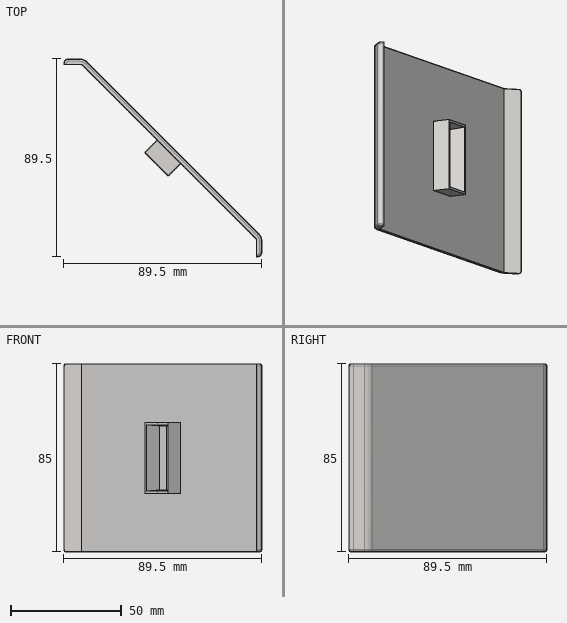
import cadquery as cq
import math

SIDE = 89.5
HEIGHT = 85.0

THICKNESS = 2.5
FLANGE_LENGTH = 8.0
BEND_RADIUS = 5.0
TIP_RADIUS = 2.0
EDGE_RADIUS = 1.0

BLOCK_WIDTH = 15.0
BLOCK_DEPTH = 8.0
BLOCK_HEIGHT = 32.0
RIM_WALL = 1.0
FLOOR_WALL = 1.5
POCKET_TAPER = math.degrees(math.atan((FLOOR_WALL - RIM_WALL) / BLOCK_DEPTH))

HALF_SIDE = SIDE / 2
BEND_ANGLE = 45
INNER_LIMIT = HALF_SIDE - THICKNESS
INNER_CORNER = -HALF_SIDE + FLANGE_LENGTH
OUTER_CORNER = INNER_CORNER + THICKNESS * math.tan(math.radians(BEND_ANGLE / 2))
PANEL_MIDDLE = (INNER_CORNER + INNER_LIMIT) / 2


def edges_nearest(body, points):
    """Select the edge of the body whose centre is nearest to each point."""
    selected = body.newObject([])
    for point in points:
        selected = selected.add(body.edges(cq.selectors.NearestToPointSelector(point)))
    return selected


def make_plate():
    outer_bends = [(OUTER_CORNER, HALF_SIDE), (HALF_SIDE, OUTER_CORNER)]
    outer_tips = [(-HALF_SIDE, HALF_SIDE), (HALF_SIDE, -HALF_SIDE)]
    outline = [
        (-HALF_SIDE, INNER_LIMIT),
        outer_tips[0],
        *outer_bends,
        outer_tips[1],
        (INNER_LIMIT, -HALF_SIDE),
        (INNER_LIMIT, INNER_CORNER),
        (INNER_CORNER, INNER_LIMIT),
    ]
    plate = cq.Workplane("XY").polyline(outline).close().extrude(HEIGHT / 2, both=True)

    plate = edges_nearest(plate, [(x, y, 0) for x, y in outer_bends]).fillet(BEND_RADIUS)
    plate = edges_nearest(plate, [(x, y, 0) for x, y in outer_tips]).fillet(TIP_RADIUS)

    outer_middle = (OUTER_CORNER + HALF_SIDE) / 2
    end_edges = [(outer_middle, outer_middle, z) for z in (-HEIGHT / 2, HEIGHT / 2)]
    return edges_nearest(plate, end_edges).fillet(EDGE_RADIUS)


def make_block(panel_face):
    return (
        cq.Workplane(panel_face)
        .rect(BLOCK_WIDTH, BLOCK_HEIGHT)
        .extrude(BLOCK_DEPTH)
    )


def make_pocket(panel_face):
    rim = cq.Workplane(panel_face).workplane(offset=BLOCK_DEPTH)
    return (
        rim.rect(BLOCK_WIDTH - 2 * RIM_WALL, BLOCK_HEIGHT - 2 * RIM_WALL)
        .extrude(-BLOCK_DEPTH, taper=POCKET_TAPER)
    )


panel_face = cq.Plane(
    origin=(PANEL_MIDDLE, PANEL_MIDDLE, 0),
    xDir=(1, -1, 0),
    normal=(-1, -1, 0),
)

result = make_plate().union(make_block(panel_face)).cut(make_pocket(panel_face))